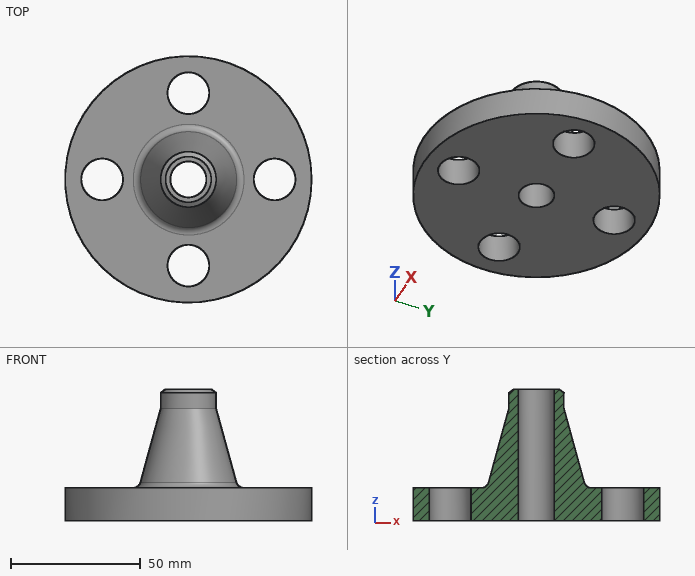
import cadquery as cq

flange_diameter = 95.2
flange_thickness = 12.8

bolt_count = 4
bolt_circle_diameter = 66.6
bolt_hole_diameter = 16.0

total_height = 50.8
hub_base_diameter = 38.3
hub_fillet_radius = 2.95
neck_diameter = 21.4
neck_length = 7.4
bore_diameter = 13.8

bevel_width = 1.9
bevel_height = 1.4

neck_start = total_height - neck_length


def make_body():
    """Revolve the flange plate, conical hub and bevelled neck about Z."""
    flange_radius = flange_diameter / 2
    hub_base_radius = hub_base_diameter / 2
    neck_radius = neck_diameter / 2
    half_profile = (
        cq.Workplane("XZ")
        .moveTo(0, 0)
        .lineTo(flange_radius, 0)
        .lineTo(flange_radius, flange_thickness)
        .lineTo(hub_base_radius, flange_thickness)
        .lineTo(neck_radius, neck_start)
        .lineTo(neck_radius, total_height - bevel_height)
        .lineTo(neck_radius - bevel_width, total_height)
        .lineTo(0, total_height)
        .close()
    )
    return half_profile.revolve(360, (0, 0, 0), (0, 1, 0))


def round_hub_base(body):
    """Blend the conical hub into the top face of the flange plate."""
    hub_base_edge = cq.selectors.RadiusNthSelector(-2)
    return body.edges(hub_base_edge).fillet(hub_fillet_radius)


def cut_bore(body):
    """Cut the bore through the whole height."""
    return body.faces("<Z").workplane(origin=(0, 0, 0)).hole(bore_diameter)


def cut_bolt_holes(body):
    """Cut the bolt holes through the flange plate, on the X and Y axes."""
    holes = (
        cq.Workplane("XY")
        .polarArray(bolt_circle_diameter / 2, 0, 360, bolt_count)
        .circle(bolt_hole_diameter / 2)
        .extrude(flange_thickness)
    )
    return body.cut(holes)


result = cut_bolt_holes(cut_bore(round_hub_base(make_body())))